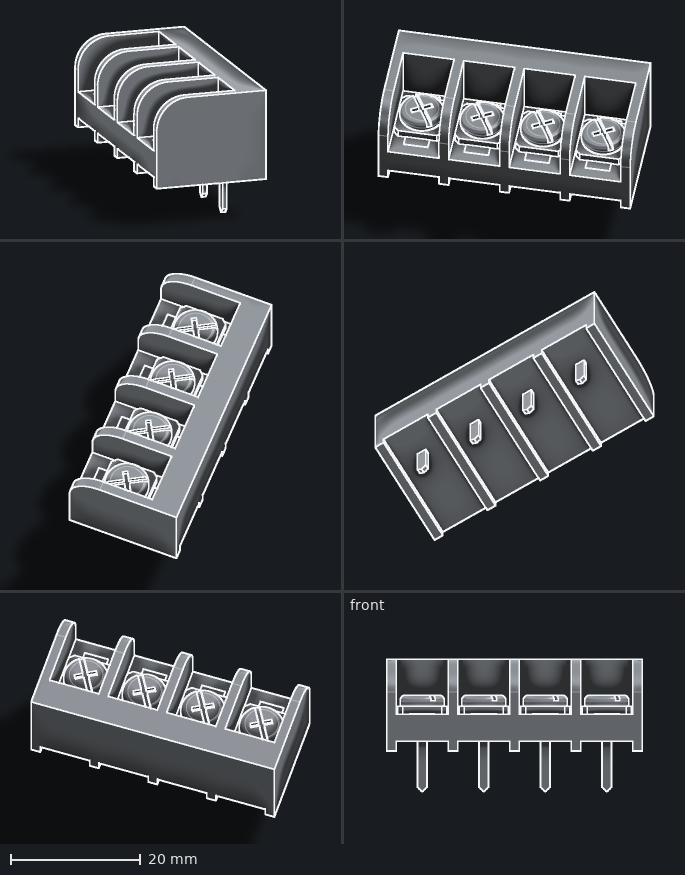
import cadquery as cq

LENGTH = 39.5
DEPTH = 17.8
POLES = 4
WALL = 1.5
BAY_WIDTH = (LENGTH - (POLES + 1) * WALL) / POLES
PITCH = BAY_WIDTH + WALL
HEIGHT = 14.22
FLOOR_HEIGHT = 5.73
FOOT_HEIGHT = 1.5
CORNER_RADIUS = 5.0
BACK_THICKNESS = 4.62

TAB_WIDTH = 3.8
TAB_DEPTH = 10.8
TAB_RISE = 0.055

PLATE_SIDE = 7.6
PLATE_CHAMFER = 0.75
PLATE_THICKNESS = 1.22
PLATE_TOP = FLOOR_HEIGHT + PLATE_THICKNESS

SCREW_FROM_BACK = 10.45
HEAD_DIAMETER = 6.85
HEAD_HEIGHT = 1.7
HEAD_TOP_ROUND = 0.83
HEAD_BASE_ROUND = 0.2
SLOT_WIDTH = 0.75
SLOT_DEPTH = 0.83
CROSS_SLOT_LENGTH = HEAD_DIAMETER / 2
SLOT_ANGLE = 120

PIN_WIDTH = 1.5
PIN_THICKNESS = 0.7
PIN_FROM_BACK = 5.15
PIN_LENGTH = 6.3
PIN_TIP = PIN_WIDTH / 2
PIN_RISE = TAB_RISE / 2

SCREW_Y = DEPTH - SCREW_FROM_BACK
PIN_Y = DEPTH - PIN_FROM_BACK
BAY_CENTERS = [WALL + BAY_WIDTH / 2 + i * PITCH for i in range(POLES)]


def block(x_center, width, y_start, y_end, z_start, z_end):
    """Box centred on x_center that spans the given Y and Z ranges."""
    box = cq.Workplane("XY").box(width, y_end - y_start, z_end - z_start, centered=(True, False, False))
    return box.translate((x_center, y_start, z_start))


def make_housing():
    """Round-cornered block with open bays on top and channels between the feet below."""
    body = block(LENGTH / 2, LENGTH, 0, DEPTH, 0, HEIGHT)
    body = body.edges("|X and >Z and <Y").fillet(CORNER_RADIUS)
    for x in BAY_CENTERS:
        body = body.cut(block(x, BAY_WIDTH, 0, DEPTH - BACK_THICKNESS, FLOOR_HEIGHT, HEIGHT))
        body = body.cut(block(x, BAY_WIDTH, 0, DEPTH, 0, FOOT_HEIGHT))
    return body


def make_tab(x):
    half_depth = TAB_DEPTH / 2
    top = FLOOR_HEIGHT + TAB_RISE
    return block(x, TAB_WIDTH, SCREW_Y - half_depth, SCREW_Y + half_depth, FLOOR_HEIGHT, top)


def make_plate(x):
    half_side = PLATE_SIDE / 2
    plate = block(x, PLATE_SIDE, SCREW_Y - half_side, SCREW_Y + half_side, FLOOR_HEIGHT, PLATE_TOP)
    return plate.edges("|Z").chamfer(PLATE_CHAMFER)


def make_screw_head(x):
    """Rounded head with one slot right across it and a short slot crossing that one."""
    head = cq.Workplane("XY").circle(HEAD_DIAMETER / 2).extrude(HEAD_HEIGHT)
    head = head.faces(">Z").edges().fillet(HEAD_TOP_ROUND)
    head = head.faces("<Z").edges().fillet(HEAD_BASE_ROUND)
    slot_floor = HEAD_HEIGHT - SLOT_DEPTH
    half_width = SLOT_WIDTH / 2
    half_cross = CROSS_SLOT_LENGTH / 2
    slots = block(0, HEAD_DIAMETER, -half_width, half_width, slot_floor, HEAD_HEIGHT)
    slots = slots.union(block(0, SLOT_WIDTH, -half_cross, half_cross, slot_floor, HEAD_HEIGHT))
    head = head.cut(slots.rotate((0, 0, 0), (0, 0, 1), SLOT_ANGLE))
    return head.translate((x, SCREW_Y, PLATE_TOP))


def make_pin(x):
    """Flat pointed pin that runs down through the housing from just above the bay floor."""
    half_width = PIN_WIDTH / 2
    top = FLOOR_HEIGHT + PIN_RISE
    pin = (
        cq.Workplane("XZ")
        .polyline([
            (-half_width, top),
            (-half_width, PIN_TIP - PIN_LENGTH),
            (0, -PIN_LENGTH),
            (half_width, PIN_TIP - PIN_LENGTH),
            (half_width, top),
        ])
        .close()
        .extrude(PIN_THICKNESS / 2, both=True)
    )
    return pin.translate((x, PIN_Y, 0))


result = make_housing()
for bay_x in BAY_CENTERS:
    for make_piece in (make_tab, make_plate, make_screw_head, make_pin):
        result = result.union(make_piece(bay_x))